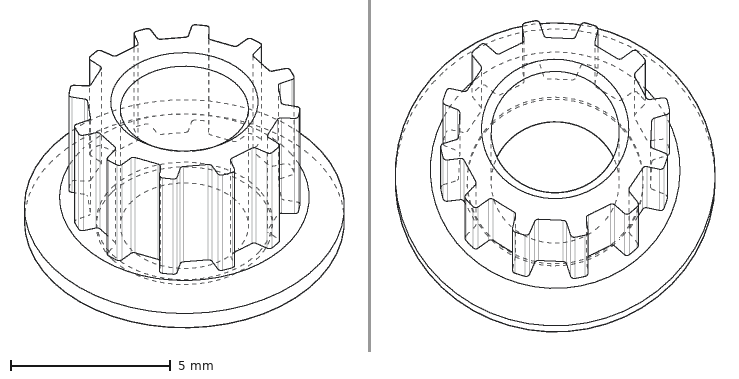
import cadquery as cq
import math

BORE_DIAMETER = 4.0
BORE_CHAMFER = 0.3

BOSS_DIAMETER = 5.5
BOSS_HEIGHT = 0.2
FLANGE_DIAMETER = 10.0
FLANGE_FLAT_DIAMETER = 7.8
FLANGE_RIM_HEIGHT = 0.6
FLANGE_CONE_HEIGHT = 0.4

TOOTH_COUNT = 12
TOOTH_TIP_DIAMETER = 7.25
TOOTH_LENGTH = 4.0
GROOVE_FLOOR_RADIUS = 3.0
GROOVE_FLOOR_WIDTH = 0.94
GROOVE_FLANK_ANGLE = 20.0
TOOTH_TIP_FILLET = 0.12
GROOVE_ROOT_FILLET = 0.12

GROOVE_OVERCUT = 0.5

rim_bottom_z = BOSS_HEIGHT
rim_top_z = rim_bottom_z + FLANGE_RIM_HEIGHT
flange_top_z = rim_top_z + FLANGE_CONE_HEIGHT
top_z = flange_top_z + TOOTH_LENGTH


def make_base():
    """Boss and conical-topped flange, turned about the Z axis."""
    boss_radius = BOSS_DIAMETER / 2
    flange_radius = FLANGE_DIAMETER / 2
    flat_radius = FLANGE_FLAT_DIAMETER / 2
    half_section = [
        (0, 0),
        (boss_radius, 0),
        (boss_radius, rim_bottom_z),
        (flange_radius, rim_bottom_z),
        (flange_radius, rim_top_z),
        (flat_radius, flange_top_z),
        (0, flange_top_z),
    ]
    return cq.Workplane("XZ").polyline(half_section).close().revolve(360, (0, 0), (0, 1))


def make_groove():
    """One flat-floored groove centred on +X, widening outward."""
    outer_radius = TOOTH_TIP_DIAMETER / 2 + GROOVE_OVERCUT
    flank_run = outer_radius - GROOVE_FLOOR_RADIUS
    floor_half = GROOVE_FLOOR_WIDTH / 2
    mouth_half = floor_half + flank_run * math.tan(math.radians(GROOVE_FLANK_ANGLE))
    outline = [
        (GROOVE_FLOOR_RADIUS, -floor_half),
        (outer_radius, -mouth_half),
        (outer_radius, mouth_half),
        (GROOVE_FLOOR_RADIUS, floor_half),
    ]
    profile = cq.Workplane("XY", origin=(0, 0, flange_top_z)).polyline(outline).close()
    return profile.extrude(TOOTH_LENGTH).edges("|Z and <X").fillet(GROOVE_ROOT_FILLET)


def make_toothed_section():
    """Cylinder with evenly spaced grooves and rounded tooth tips."""
    tip_radius = TOOTH_TIP_DIAMETER / 2
    teeth = cq.Workplane("XY", origin=(0, 0, flange_top_z)).circle(tip_radius).extrude(TOOTH_LENGTH)
    groove = make_groove()
    for index in range(TOOTH_COUNT):
        angle = index * 360 / TOOTH_COUNT
        teeth = teeth.cut(groove.rotate((0, 0, 0), (0, 0, 1), angle))

    mid_depth_radius = (GROOVE_FLOOR_RADIUS + tip_radius) / 2
    tip_edges = teeth.edges("|Z").filter(
        lambda edge: math.hypot(edge.Center().x, edge.Center().y) > mid_depth_radius
    )
    return tip_edges.fillet(TOOTH_TIP_FILLET)


def make_bore():
    """Through bore with a conical chamfer at the toothed end."""
    bore_radius = BORE_DIAMETER / 2
    half_section = [
        (0, 0),
        (bore_radius, 0),
        (bore_radius, top_z - BORE_CHAMFER),
        (bore_radius + BORE_CHAMFER, top_z),
        (0, top_z),
    ]
    return cq.Workplane("XZ").polyline(half_section).close().revolve(360, (0, 0), (0, 1))


result = make_base().union(make_toothed_section()).cut(make_bore())